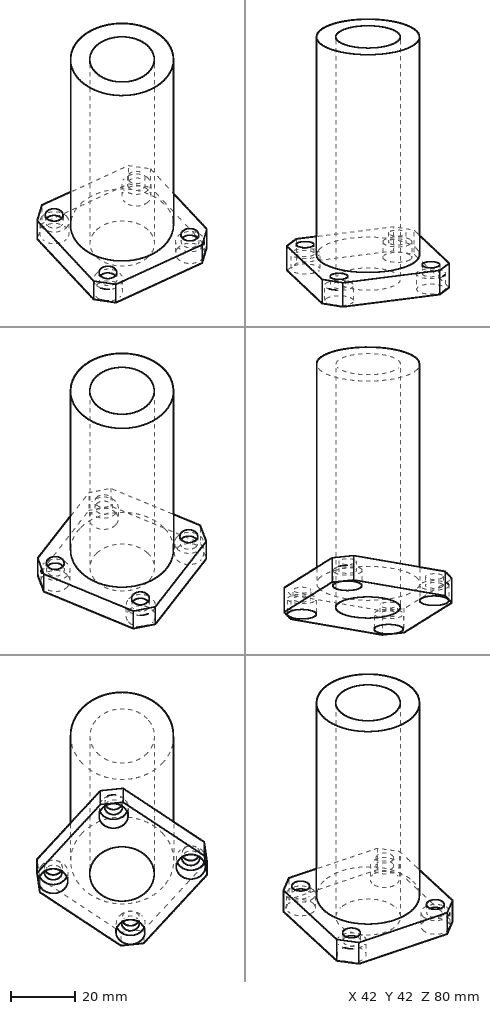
import cadquery as cq
import math

total_height = 80.0
sleeve_diameter = 32.0
bore_diameter = 20.0

flange_width = 42.0
flange_thickness = 8.0
corner_cut = (flange_width - sleeve_diameter) / 2

bolt_circle_diameter = 43.0
bolt_count = 4
first_bolt_angle = 45.0
bolt_hole_diameter = 5.5
counterbore_diameter = 9.0
counterbore_depth = 5.1


def flange():
    """Square plate with its four vertical corners cut at 45 degrees."""
    plate = cq.Workplane("XY").rect(flange_width, flange_width).extrude(flange_thickness)
    return plate.edges("|Z").chamfer(corner_cut)


def sleeve():
    """Cylinder running the full height of the part."""
    return cq.Workplane("XY").circle(sleeve_diameter / 2).extrude(total_height)


def bore():
    """Through bore along the sleeve axis."""
    return cq.Workplane("XY").circle(bore_diameter / 2).extrude(total_height)


def bolt_hole(angle_degrees):
    """Flange bolt hole, counterbored from the underside."""
    angle = math.radians(angle_degrees)
    bolt_radius = bolt_circle_diameter / 2
    center = (bolt_radius * math.cos(angle), bolt_radius * math.sin(angle))
    plane = cq.Workplane("XY").center(*center)
    shank = plane.circle(bolt_hole_diameter / 2).extrude(flange_thickness)
    counterbore = plane.circle(counterbore_diameter / 2).extrude(counterbore_depth)
    return shank.union(counterbore)


result = flange().union(sleeve()).cut(bore())
for index in range(bolt_count):
    result = result.cut(bolt_hole(first_bolt_angle + index * 360.0 / bolt_count))